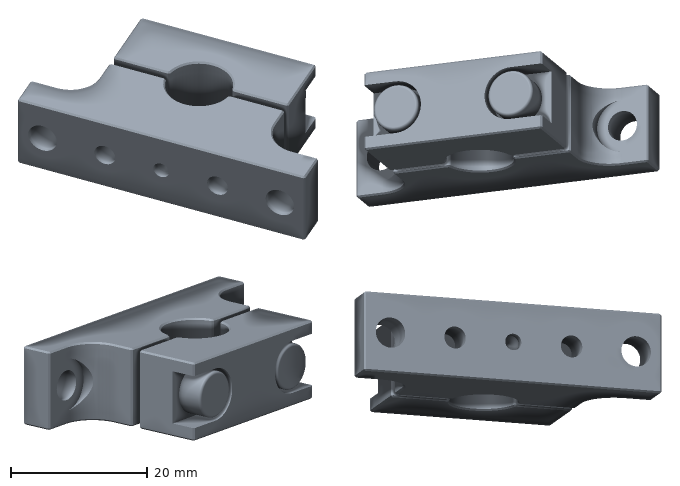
import cadquery as cq


BASE_LENGTH = 46.0
BLOCK_WIDTH = 28.0
THICKNESS = 12.0
TOTAL_HEIGHT = 25.02
EDGE_CHAMFER = 0.25

BORE_RADIUS = 5.0
BORE_Y = 14.0
CLAMP_GAP = 1.3
BASE_TOP = BORE_Y - CLAMP_GAP / 2
CAP_BOTTOM = BORE_Y + CLAMP_GAP / 2

FLANGE_HEIGHT = 5.0
FLANGE_FILLET = 4.75
MOUNT_DIAMETER = 4.55
SPOTFACE_DIAMETER = 8.0
MOUNT_X = 19.0

PILOT_DIAMETER = 2.5
PILOT_DEPTH = 1.3
PILOT_CONE_DEPTH = PILOT_DIAMETER / 2

SCREW_X = 9.0
SHANK_DIAMETER = 4.0
SHANK_LENGTH = 16.0
HEAD_DIAMETER = 7.0
HEAD_HEIGHT = 4.0
HEAD_FILLET = 0.4
HEAD_POCKET_WIDTH = 8.0
TAP_DIAMETER = 3.3
HEAD_SEAT_Y = TOTAL_HEIGHT - HEAD_HEIGHT
SCREW_TIP_Y = HEAD_SEAT_Y - SHANK_LENGTH

SIDES = (-1, 1)


def cylinder_y(diameter, x, y_start, y_end):
    """Cylinder along +Y at the given X, centred on the mid-thickness plane."""
    start = cq.Vector(x, y_start, 0)
    solid = cq.Solid.makeCylinder(diameter / 2, y_end - y_start, start, cq.Vector(0, 1, 0))
    return cq.Workplane(obj=solid)


def block(width, y_start, y_end):
    """Full-thickness rectangular block, symmetric about X = 0 and Z = 0."""
    height = y_end - y_start
    return cq.Workplane().box(width, height, THICKNESS).translate((0, y_start + height / 2, 0))


def cut_bore(body):
    """Cut the shaft bore through the whole thickness."""
    bore = cq.Workplane().circle(BORE_RADIUS).extrude(THICKNESS, both=True)
    return body.cut(bore.translate((0, BORE_Y, 0)))


def chamfer_faces(body):
    """Chamfer the outlines of both large Z faces."""
    return body.faces("<Z or >Z").edges().chamfer(EDGE_CHAMFER)


def is_flange_corner(edge):
    """True for the two inner corners where the block rises from the flange."""
    centre = edge.Center()
    at_block_side = abs(abs(centre.x) - BLOCK_WIDTH / 2) < EDGE_CHAMFER
    at_flange_top = abs(centre.y - FLANGE_HEIGHT) < EDGE_CHAMFER
    return at_block_side and at_flange_top


def make_base():
    body = block(BASE_LENGTH, 0, FLANGE_HEIGHT).union(block(BLOCK_WIDTH, 0, BASE_TOP))
    body = cut_bore(body)
    outer_edges = body.edges("|Z").filter(lambda edge: not is_flange_corner(edge))
    body = outer_edges.chamfer(EDGE_CHAMFER)
    body = body.edges("|Z").filter(is_flange_corner).fillet(FLANGE_FILLET)
    body = chamfer_faces(body)

    for side in SIDES:
        mount_x = side * MOUNT_X
        screw_x = side * SCREW_X
        body = body.cut(cylinder_y(MOUNT_DIAMETER, mount_x, 0, FLANGE_HEIGHT))
        body = body.cut(cylinder_y(SPOTFACE_DIAMETER, mount_x, FLANGE_HEIGHT, BASE_TOP))
        body = body.cut(cylinder_y(TAP_DIAMETER, screw_x, 0, SCREW_TIP_Y))
        body = body.cut(cylinder_y(SHANK_DIAMETER, screw_x, SCREW_TIP_Y, BASE_TOP))

    pilot_profile = (
        cq.Workplane()
        .lineTo(PILOT_DIAMETER / 2, 0)
        .lineTo(PILOT_DIAMETER / 2, PILOT_DEPTH)
        .lineTo(0, PILOT_DEPTH + PILOT_CONE_DEPTH)
        .close()
    )
    return body.cut(pilot_profile.revolve(360, (0, 0), (0, 1)))


def make_cap():
    body = cut_bore(block(BLOCK_WIDTH, CAP_BOTTOM, TOTAL_HEIGHT))
    body = body.edges("|Z").chamfer(EDGE_CHAMFER)
    body = chamfer_faces(body)

    for side in SIDES:
        screw_x = side * SCREW_X
        body = body.cut(cylinder_y(SHANK_DIAMETER, screw_x, CAP_BOTTOM, HEAD_SEAT_Y))
        body = body.cut(cylinder_y(HEAD_POCKET_WIDTH, screw_x, HEAD_SEAT_Y, TOTAL_HEIGHT))
        slot_length = BLOCK_WIDTH / 2 - SCREW_X
        slot = cq.Workplane().box(slot_length, HEAD_HEIGHT, HEAD_POCKET_WIDTH)
        slot_x = side * (SCREW_X + slot_length / 2)
        body = body.cut(slot.translate((slot_x, HEAD_SEAT_Y + HEAD_HEIGHT / 2, 0)))
    return body


def make_screw(x):
    head = cylinder_y(HEAD_DIAMETER, x, HEAD_SEAT_Y, TOTAL_HEIGHT)
    head = head.faces(">Y").edges().fillet(HEAD_FILLET)
    return head.union(cylinder_y(SHANK_DIAMETER, x, SCREW_TIP_Y, HEAD_SEAT_Y))


base = make_base().solids().val()
cap = make_cap().solids().val()
screws = [make_screw(side * SCREW_X).solids().val() for side in SIDES]

result = cq.Compound.makeCompound([base, cap, *screws])